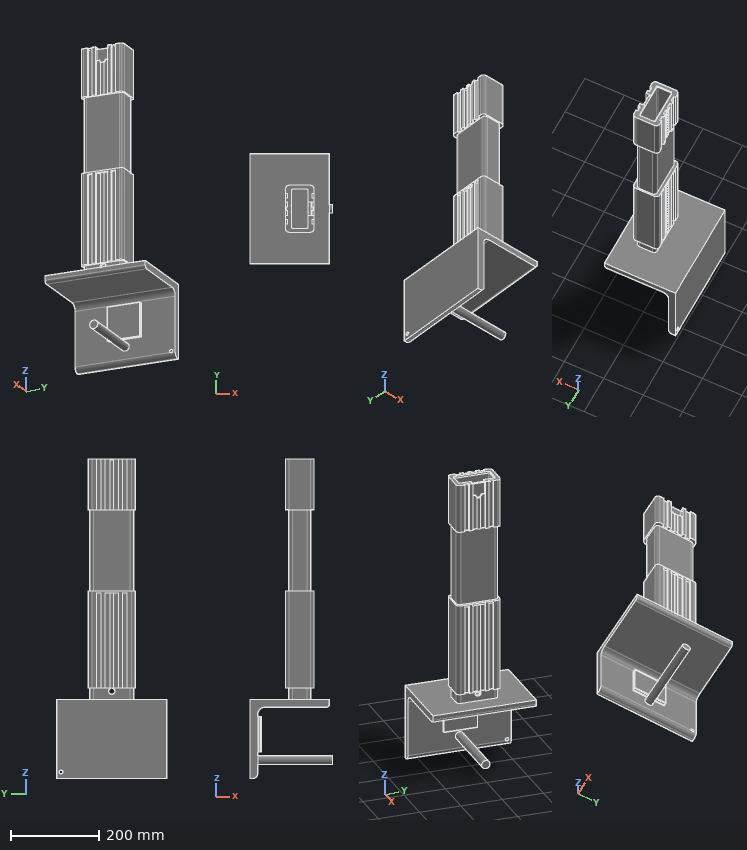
import cadquery as cq

bracket_length = 180.5
bracket_width = 250.0
bracket_height = 180.0
bracket_thickness = 18.0
bracket_inner_radius = 16.0
wall_end_radius = 12.0
flange_end_radius = 7.0
corner_hole_diameter = 8.0
corner_hole_edge_distance = 10.0
corner_hole_height = 15.0

post_center_x = 113.0
post_depth = 50.0
post_width = 100.0
post_wall = 6.0
post_corner_radius = 9.0
post_bore_radius = 3.0
post_hole_diameter = 14.0

sleeve_depth = 65.0
sleeve_width = 106.5
sleeve_corner_radius = 9.0
total_height = 725.0
upper_sleeve_length = 116.0
upper_sleeve_lip = 4.0
lower_sleeve_bottom = 205.0
lower_sleeve_length = 220.5
lower_sleeve_cap = 4.0
groove_width = 11.0
groove_depth = 4.7
groove_pitch = 19.5
groove_count = 4
middle_rib_recess = 3.0
upper_rib_recess_start = 2.0
notch_depth = 32.0
notch_dip_diameter = 14.0

rod_diameter = 20.0
rod_end_x = 188.0
rod_height = 42.0
pad_size = 81.0
pad_bottom = 60.0
pad_layer_thicknesses = [2.0, 4.0, 2.0]

post_bore_depth = post_depth - 2 * post_wall
post_bore_width = post_width - 2 * post_wall
post_top = total_height - upper_sleeve_lip
post_hole_height = lower_sleeve_bottom - post_hole_diameter / 2
upper_sleeve_bottom = total_height - upper_sleeve_length
middle_rib_width = groove_pitch - groove_width
notch_width = groove_pitch + groove_width


def box(x_min, x_max, y_center, y_size, z_min, z_max):
    """A block placed by its X and Z limits and its Y centre."""
    size = (x_max - x_min, y_size, z_max - z_min)
    return cq.Workplane().box(*size, centered=(False, True, False)).translate((x_min, y_center, z_min))


def post_block(depth, width, corner_radius, z_min, z_max):
    """A block with rounded vertical corners, centred on the post axis."""
    half_depth = depth / 2
    block = box(post_center_x - half_depth, post_center_x + half_depth, 0, width, z_min, z_max)
    return block.edges("|Z").fillet(corner_radius)


def x_cylinder(diameter, x_min, x_max, y, z):
    """A cylinder parallel to X."""
    plane = cq.Plane(origin=(x_min, y, z), xDir=(0, 1, 0), normal=(1, 0, 0))
    return cq.Workplane(plane).circle(diameter / 2).extrude(x_max - x_min)


def make_bracket():
    t = bracket_thickness
    profile = [
        (0, 0),
        (t, 0),
        (t, bracket_height - t),
        (bracket_length, bracket_height - t),
        (bracket_length, bracket_height),
        (0, bracket_height),
    ]
    body = cq.Workplane("XZ").polyline(profile).close().extrude(bracket_width / 2, both=True)
    corners = [
        ((t, bracket_height - t), bracket_inner_radius),
        ((t, 0), wall_end_radius),
        ((bracket_length, bracket_height - t), flange_end_radius),
    ]
    for (x, z), radius in corners:
        body = body.edges(cq.NearestToPointSelector((x, 0, z))).fillet(radius)
    hole_y = bracket_width / 2 - corner_hole_edge_distance
    return body.cut(x_cylinder(corner_hole_diameter, 0, t, hole_y, corner_hole_height))


def make_post():
    outer = post_block(post_depth, post_width, post_corner_radius, bracket_height, post_top)
    bore = post_block(post_bore_depth, post_bore_width, post_bore_radius, bracket_height, post_top)
    face_left = post_center_x - post_depth / 2
    face_right = post_center_x + post_depth / 2
    hole = x_cylinder(post_hole_diameter, face_left, face_right, 0, post_hole_height)
    return outer.cut(bore).cut(hole)


def cut_grip(sleeve, z_bottom, groove_top, recess_top):
    """Cut the grooves and set back the middle rib on both wide faces of a sleeve."""
    face_left = post_center_x - sleeve_depth / 2
    face_right = post_center_x + sleeve_depth / 2
    for index in range(groove_count):
        y = (index - (groove_count - 1) / 2) * groove_pitch
        sleeve = sleeve.cut(box(face_left, face_left + groove_depth, y, groove_width, z_bottom, groove_top))
        sleeve = sleeve.cut(box(face_right - groove_depth, face_right, y, groove_width, z_bottom, groove_top))
    for x_min in (face_left, face_right - middle_rib_recess):
        x_max = x_min + middle_rib_recess
        sleeve = sleeve.cut(box(x_min, x_max, 0, middle_rib_width, z_bottom, recess_top))
    return sleeve


def make_lower_sleeve():
    top = lower_sleeve_bottom + lower_sleeve_length
    body = post_block(sleeve_depth, sleeve_width, sleeve_corner_radius, lower_sleeve_bottom, top)
    body = body.cut(post_block(post_depth, post_width, post_corner_radius, lower_sleeve_bottom, top))
    grip_top = top - lower_sleeve_cap
    return cut_grip(body, lower_sleeve_bottom, grip_top, grip_top)


def make_upper_sleeve():
    bottom = upper_sleeve_bottom
    body = post_block(sleeve_depth, sleeve_width, sleeve_corner_radius, bottom, total_height)
    body = body.cut(post_block(post_depth, post_width, post_corner_radius, bottom, post_top))
    body = body.cut(post_block(post_bore_depth, post_bore_width, post_bore_radius, post_top, total_height))
    body = cut_grip(body, bottom, total_height, total_height - upper_rib_recess_start)
    face_right = post_center_x + sleeve_depth / 2
    notch_floor = total_height - notch_depth
    body = body.cut(box(post_center_x, face_right, 0, notch_width, notch_floor, total_height))
    return body.cut(x_cylinder(notch_dip_diameter, post_center_x, face_right, 0, notch_floor))


def make_rod():
    return x_cylinder(rod_diameter, bracket_thickness, rod_end_x, 0, rod_height)


def make_pad_layer(x_min, thickness):
    return box(x_min, x_min + thickness, 0, pad_size, pad_bottom, pad_bottom + pad_size)


bracket = make_bracket()
post = make_post()
lower_sleeve = make_lower_sleeve()
upper_sleeve = make_upper_sleeve()
rod = make_rod()

pad_layers = []
layer_x = bracket_thickness
for layer_thickness in pad_layer_thicknesses:
    pad_layers.append(make_pad_layer(layer_x, layer_thickness).val())
    layer_x += layer_thickness

result = cq.Compound.makeCompound(
    [
        bracket.val(),
        post.val(),
        lower_sleeve.val(),
        upper_sleeve.val(),
        rod.val(),
        *pad_layers,
    ]
)